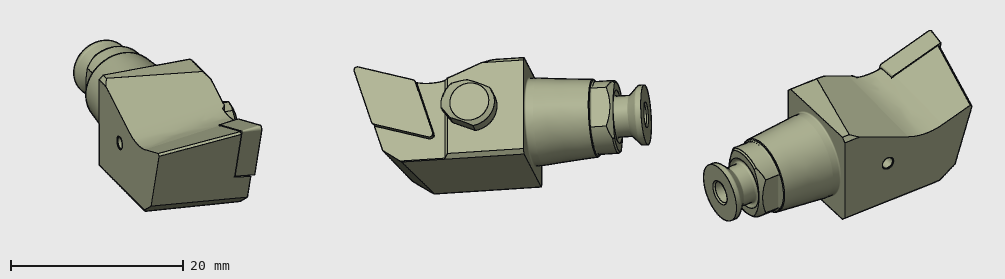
import cadquery as cq
import math


block_width = 12.0
half_width = block_width / 2
block_length = 22.0
block_chamfer = 0.5
clearance_angle = 7.0

insert_angle = 55.0
insert_side = 7.75
insert_thickness = 2.38
nose_radius = 0.4
pocket_gap = 0.15
tip_reach = 19.99
edge_lean = (90.0 - insert_angle) / 2
nose_to_sharp = nose_radius / math.sin(math.radians(insert_angle / 2)) * math.cos(math.radians(45))
sharp_tip_x = tip_reach - nose_radius + nose_to_sharp
sharp_tip_z = half_width - nose_radius + nose_to_sharp

edge_relief = 0.1
gully_start_x = 3.77
gully_angle = 22.5
gully_radius = 7.0
heel_start_x = 14.53
heel_angle = 35.0
ridge_chamfer = 0.38
insert_relief = 0.4
insert_relief_x = 9.33
trim_margin = 3.0

taper_small_radius = 4.55
taper_big_radius = 5.1
taper_front_x = -7.5
taper_back_x = -1.0
taper_chamfer = 0.1
shank_fillet = 0.18
collar_radius = 4.25
collar_front_x = -10.07
collar_chamfer = 0.2
flat_distance = 3.5
flat_bevel_offset = 3.0
flat_bevel_radius = 6.2
dish_radius = 3.1
dish_angle = 60.0

knob_front_x = -13.4
knob_radius = 3.5
knob_corner_x = -12.75
knob_fillet = 0.25
neck_radius = 2.4
neck_fillet = 0.15
neck_root_fillet = 0.25

bore_radius = 1.3
bore_chamfer = 0.2
bore_end_x = -5.0
coolant_radius = 1.0
drill_point_half_angle = 59.0

nozzle_x = 6.0
nozzle_height = 2.0
nozzle_radius = 2.9
nozzle_flat_distance = 2.5
jet_angle = 23.5
nozzle_nose_radius = 3.5
nozzle_nose_half_width = 1.56
nozzle_crown_radius = 2.3
nozzle_crown_angle = 30.0
jet_groove_radius = 1.0
nozzle_pin_radius = 1.0
nozzle_pin_end_y = -2.0

push_hole_radius = 0.7
push_hole_chamfer = 0.1


def tan(angle):
    return math.tan(math.radians(angle))


def sin(angle):
    return math.sin(math.radians(angle))


def cos(angle):
    return math.cos(math.radians(angle))


def side_plane(y, x=0.0):
    """Plane facing -Y, with local axes along X and Z."""
    return cq.Workplane("XZ", origin=(x, y, 0))


def turned(points):
    """Solid of revolution about X from (x, radius) points."""
    return cq.Workplane("XZ").polyline(points).close().revolve(360, (0, 0, 0), (1, 0, 0))


def circles_at(x, radius):
    """Selector for edges that lie at one X and within a radius of the axis."""
    slack = 0.05
    reach = radius + slack
    return cq.selectors.BoxSelector((x - slack, -reach, -reach), (x + slack, reach, reach), boundingbox=True)


def insert_shape(gap):
    """Rhombus with relieved sides, grown outward by a gap."""
    side = insert_side + 2 * gap / sin(insert_angle)
    tip_shift = gap / sin(insert_angle / 2) * cos(45)
    tip = cq.Vector(sharp_tip_x + tip_shift, sharp_tip_z + tip_shift)
    along_top = cq.Vector(-side * cos(edge_lean), -side * sin(edge_lean))
    along_front = cq.Vector(-side * sin(edge_lean), -side * cos(edge_lean))
    corners = [tip, tip + along_top, tip + along_top + along_front, tip + along_front, tip]
    rhombus = (
        cq.Sketch()
        .polygon([(corner.x, corner.y) for corner in corners])
        .vertices()
        .fillet(nose_radius + gap)
    )
    return side_plane(half_width).placeSketch(rhombus).extrude(insert_thickness, taper=clearance_angle)


def oblique_prism(outline, shift_x, shift_z):
    """Trimming tool through the block width that shifts sideways from the +Y to the -Y face."""
    direction = cq.Vector(shift_x, -block_width, shift_z)
    return cq.Workplane(cq.Solid.extrudeLinear(outline.val(), [], direction))


def gully_tool():
    """Chip gully: a slope down from the top, an arc, then a rise to the insert tip."""
    tip_z = sharp_tip_z - edge_relief / cos(edge_lean)
    valley_x = (
        half_width + gully_start_x * tan(gully_angle) - tip_z + sharp_tip_x * tan(edge_lean)
    ) / (tan(gully_angle) + tan(edge_lean))
    valley_z = tip_z - (sharp_tip_x - valley_x) * tan(edge_lean)
    tangent = gully_radius * tan((gully_angle + edge_lean) / 2)
    top_z = half_width + trim_margin
    end_x = sharp_tip_x + trim_margin
    outline = (
        side_plane(half_width)
        .moveTo(gully_start_x - trim_margin / tan(gully_angle), top_z)
        .lineTo(valley_x - tangent * cos(gully_angle), valley_z + tangent * sin(gully_angle))
        .tangentArcPoint(
            (valley_x + tangent * cos(edge_lean), valley_z + tangent * sin(edge_lean)), relative=False
        )
        .lineTo(end_x, tip_z + trim_margin * tan(edge_lean))
        .lineTo(end_x, top_z)
        .close()
    )
    shift = block_width * tan(clearance_angle)
    return oblique_prism(outline, shift * sin(edge_lean), -shift * cos(edge_lean))


def front_tool():
    """Front flank below the insert tip and the sloping heel under it."""
    tip_x = sharp_tip_x - edge_relief / cos(edge_lean)
    corner_z = (
        heel_start_x - tip_x + half_width / tan(heel_angle) + sharp_tip_z * tan(edge_lean)
    ) / (tan(edge_lean) - 1 / tan(heel_angle))
    corner_x = tip_x + (corner_z - sharp_tip_z) * tan(edge_lean)
    end_x = sharp_tip_x + 2 * trim_margin
    bottom_z = -half_width - trim_margin
    outline = (
        side_plane(half_width)
        .moveTo(tip_x + trim_margin * tan(edge_lean), sharp_tip_z + trim_margin)
        .lineTo(corner_x, corner_z)
        .lineTo(heel_start_x - trim_margin / tan(heel_angle), bottom_z)
        .lineTo(end_x, bottom_z)
        .lineTo(end_x, sharp_tip_z + trim_margin)
        .close()
    )
    shift = block_width * tan(clearance_angle)
    return oblique_prism(outline, -shift * cos(edge_lean), shift * sin(edge_lean))


def insert_relief_tool():
    """Wide shallow step in the +Y face, with a 45 degree start."""
    step_x = insert_relief_x - insert_relief
    end_x = block_length + trim_margin
    return (
        cq.Workplane("XY", origin=(0, 0, -half_width))
        .moveTo(step_x, half_width)
        .lineTo(insert_relief_x, half_width - insert_relief)
        .lineTo(end_x, half_width - insert_relief)
        .lineTo(end_x, half_width)
        .close()
        .extrude(block_width)
    )


def make_block():
    block = (
        cq.Workplane("XY")
        .box(block_length, block_width, block_width, centered=(False, True, True))
        .edges("|X")
        .chamfer(block_chamfer)
    )
    block = block.cut(gully_tool()).cut(front_tool())
    ridge_setback = half_width * tan(clearance_angle) / sin(insert_angle / 2) * cos(45)
    ridge_middle = (sharp_tip_x - ridge_setback, 0, sharp_tip_z - ridge_setback)
    block = block.edges(cq.selectors.NearestToPointSelector(ridge_middle)).chamfer(ridge_chamfer)
    return block.cut(insert_relief_tool())


def make_collar():
    collar = turned([
        (collar_front_x, 0),
        (collar_front_x, collar_radius - collar_chamfer),
        (collar_front_x + collar_chamfer, collar_radius),
        (taper_front_x, collar_radius),
        (taper_front_x, 0),
    ])
    slab_size = 4 * collar_radius
    flats = cq.Workplane("XY").box(slab_size, 2 * flat_distance, slab_size)
    collar = collar.intersect(flats.translate((collar_front_x, 0, 0)))
    bevel_length = taper_front_x - collar_front_x
    bevel_cone = turned([
        (collar_front_x, 0),
        (collar_front_x, flat_bevel_radius),
        (taper_front_x, flat_bevel_radius + bevel_length),
        (taper_front_x, 0),
    ])
    for side in (1, -1):
        collar = collar.intersect(bevel_cone.translate((0, -side * flat_bevel_offset, 0)))
    return collar


def make_knob(end_x):
    """Pull knob and neck, running on to end_x."""
    knob_back_x = knob_corner_x + knob_radius - neck_radius
    knob = turned([
        (knob_front_x, 0),
        (knob_front_x, knob_radius),
        (knob_corner_x, knob_radius),
        (knob_back_x, neck_radius),
        (end_x, neck_radius),
        (end_x, 0),
    ])
    knob = knob.edges(circles_at(knob_corner_x, knob_radius)).fillet(knob_fillet)
    return knob.edges(circles_at(knob_back_x, neck_radius)).fillet(neck_fillet)


def make_shank():
    taper = turned([
        (taper_front_x, 0),
        (taper_front_x, taper_small_radius - taper_chamfer),
        (taper_front_x + taper_chamfer, taper_small_radius),
        (taper_back_x, taper_big_radius),
        (0, taper_big_radius),
        (0, 0),
    ])
    shank = taper.union(make_collar())
    shank = shank.edges(circles_at(taper_front_x, collar_radius)).fillet(shank_fillet)
    dish_bottom_x = collar_front_x + (dish_radius - neck_radius) / tan(dish_angle)
    dish = turned([
        (collar_front_x, 0),
        (collar_front_x, dish_radius),
        (dish_bottom_x, neck_radius),
        (dish_bottom_x, 0),
    ])
    shank = shank.cut(dish).union(make_knob(dish_bottom_x))
    return shank.edges(circles_at(dish_bottom_x, neck_radius)).fillet(neck_root_fillet)


def coolant_hole():
    """Stepped hole from the knob face to the nozzle pin."""
    drill_point = (bore_radius - coolant_radius) / tan(drill_point_half_angle)
    return turned([
        (knob_front_x, 0),
        (knob_front_x, bore_radius + bore_chamfer),
        (knob_front_x + bore_chamfer, bore_radius),
        (bore_end_x - drill_point, bore_radius),
        (bore_end_x, coolant_radius),
        (nozzle_x, coolant_radius),
        (nozzle_x, 0),
    ])


def push_hole():
    hole_length = nozzle_pin_end_y + half_width
    hole = side_plane(nozzle_pin_end_y, nozzle_x).circle(push_hole_radius).extrude(hole_length)
    mouth = (
        side_plane(-half_width + push_hole_chamfer, nozzle_x)
        .circle(push_hole_radius)
        .extrude(push_hole_chamfer, taper=-45)
    )
    return hole.union(mouth)


def nozzle_pin():
    return side_plane(half_width, nozzle_x).circle(nozzle_pin_radius).extrude(half_width - nozzle_pin_end_y)


def make_holder():
    holder = make_block().union(make_shank())
    holder = holder.edges(circles_at(0, taper_big_radius)).fillet(shank_fillet)
    return holder.cut(coolant_hole()).cut(nozzle_pin()).cut(push_hole()).cut(insert_shape(pocket_gap))


def make_nozzle():
    """Nozzle head with wrench flats and a tapered nose, on a round pin."""
    flat_end = math.sqrt(nozzle_radius**2 - nozzle_flat_distance**2)
    nose_corner = math.sqrt(nozzle_nose_radius**2 - nozzle_nose_half_width**2)
    head = (
        side_plane(half_width)
        .moveTo(-flat_end, nozzle_flat_distance)
        .lineTo(flat_end, nozzle_flat_distance)
        .lineTo(nose_corner, nozzle_nose_half_width)
        .threePointArc((nozzle_nose_radius, 0), (nose_corner, -nozzle_nose_half_width))
        .lineTo(flat_end, -nozzle_flat_distance)
        .lineTo(-flat_end, -nozzle_flat_distance)
        .threePointArc((-nozzle_radius, 0), (-flat_end, nozzle_flat_distance))
        .close()
        .extrude(-nozzle_height)
    )
    top_y = half_width + nozzle_height
    crown = (
        cq.Workplane("XY")
        .moveTo(0, top_y)
        .lineTo(nozzle_crown_radius, top_y)
        .lineTo(nozzle_crown_radius + nozzle_height / tan(nozzle_crown_angle), half_width)
        .lineTo(0, half_width)
        .close()
        .revolve(360, (0, 0, 0), (0, 1, 0))
    )
    groove = (
        cq.Workplane("YZ")
        .center(half_width, 0)
        .circle(jet_groove_radius)
        .extrude(nozzle_nose_radius)
    )
    head = head.intersect(crown).cut(groove)
    head = head.rotate((0, 0, 0), (0, 1, 0), -jet_angle).translate((nozzle_x, 0, 0))
    return head.union(nozzle_pin())


holder = make_holder()
insert = insert_shape(0)
nozzle = make_nozzle()

result = cq.Compound.makeCompound([holder.val(), insert.val(), nozzle.val()])